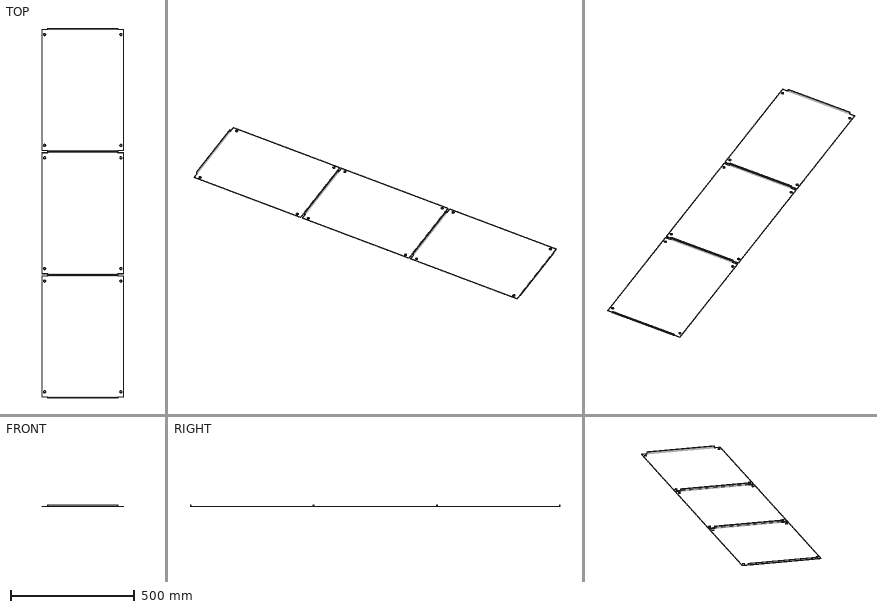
import cadquery as cq

total_length = 1498.0
panel_count = 3
panel_gap = 2.0
panel_length = (total_length - (panel_count - 1) * panel_gap) / panel_count
panel_pitch = panel_length + panel_gap

panel_width = 333.0
panel_height = 8.0
sheet = 1.0
bend_inner = 1.8
bend_outer = bend_inner + sheet

flange_inset = 24.0
flange_width = panel_width - 2 * flange_inset
flat_length = panel_length - 2 * bend_outer

hole_diameter = 8.0
hole_spacing_x = 310.0
hole_spacing_y = 450.0


def make_sheet():
    """Flat rectangle of sheet, resting on Z = 0."""
    return cq.Workplane("XY").box(panel_width, flat_length, sheet, centered=(True, True, False))


def make_flange():
    """Upright flange and its bend at the +Y end of the sheet."""
    bend_start = flat_length / 2
    outer_face = bend_start + bend_outer
    inner_face = outer_face - sheet
    return (
        cq.Workplane("YZ", origin=(-flange_width / 2, 0, 0))
        .moveTo(bend_start, 0)
        .radiusArc((outer_face, bend_outer), -bend_outer)
        .lineTo(outer_face, panel_height)
        .lineTo(inner_face, panel_height)
        .lineTo(inner_face, bend_outer)
        .radiusArc((bend_start, sheet), bend_inner)
        .close()
        .extrude(flange_width)
    )


def make_holes():
    """Through-hole cutters at the four corners of the sheet."""
    return (
        cq.Workplane("XY")
        .rect(hole_spacing_x, hole_spacing_y, forConstruction=True)
        .vertices()
        .circle(hole_diameter / 2)
        .extrude(sheet)
    )


def make_panel(y_center):
    """One folded panel centred at the given Y."""
    flange = make_flange()
    panel = make_sheet().union(flange).union(flange.mirror("XZ")).cut(make_holes())
    return panel.translate((0, y_center, 0))


first_center = -(panel_count - 1) * panel_pitch / 2
panels = [make_panel(first_center + index * panel_pitch) for index in range(panel_count)]

result = cq.Compound.makeCompound([panel.val() for panel in panels])